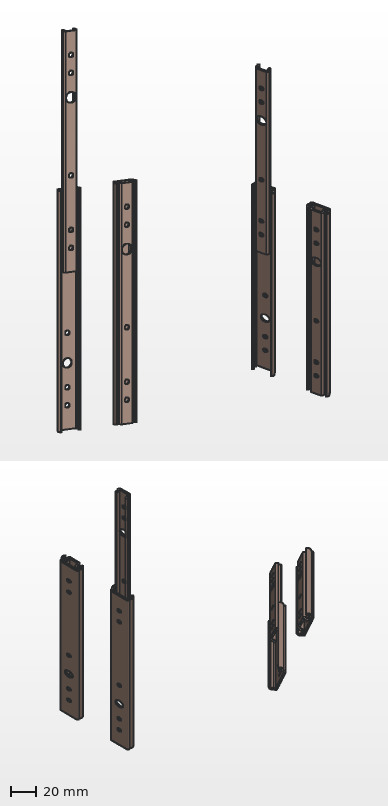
import cadquery as cq


TOTAL_LENGTH = 332.0
RAIL_LENGTH = 200.0
EXTENSION = TOTAL_LENGTH - RAIL_LENGTH
SLIDE_GAP = 30.0
WEB_THICKNESS = 1.5

OUTER_SHOULDER = 9.0
OUTER_RACE_RISE = 1.05
OUTER_HALF_HEIGHT = OUTER_SHOULDER + OUTER_RACE_RISE
OUTER_FLANGE_INSIDE = OUTER_SHOULDER - WEB_THICKNESS
OUTER_CORNER_RADIUS = 1.3
OUTER_RACE_CENTER = 4.5
OUTER_RACE_HALF_WIDTH = 2.45
OUTER_LIP_THICKNESS = 0.5
OUTER_GROOVE_HALF_WIDTH = 1.3
OUTER_GROOVE_BOTTOM = 8.5

INNER_FLANGE_INSIDE = 4.0
INNER_FLANGE_THICKNESS = 2.05
INNER_HALF_HEIGHT = INNER_FLANGE_INSIDE + INNER_FLANGE_THICKNESS
INNER_CORNER_RADIUS = 2.5
INNER_CORNER_DROP = 1.3
INNER_FLANGE_END = 2.35
INNER_WIDTH = 5.5
SLIDE_DEPTH = INNER_FLANGE_END + INNER_WIDTH
INNER_TIP_RADIUS = 1.3
INNER_TIP_INSIDE = 4.3
INNER_GROOVE_END = 5.5
INNER_GROOVE_DEPTH = 0.5

SCREW_HOLE_DIAMETER = 4.0
END_HOLE_HEIGHTS = [20.0, 35.0]
MIDDLE_HOLE_HEIGHT = 80.0
SCREW_HOLE_HEIGHTS = [
    *END_HOLE_HEIGHTS,
    MIDDLE_HOLE_HEIGHT,
    *[RAIL_LENGTH - height for height in END_HOLE_HEIGHTS],
]
OUTER_ACCESS_DIAMETER = 8.0
OUTER_ACCESS_HEIGHT = 55.0
INNER_ACCESS_DIAMETER = 9.0
INNER_ACCESS_HEIGHT = RAIL_LENGTH - OUTER_ACCESS_HEIGHT

ARC_INSET = 1 - 0.5 ** 0.5


def mirrored_rail(half_section):
    """Extrude a half section that starts on the XZ plane and add its mirror image."""
    half = half_section.close().extrude(RAIL_LENGTH)
    return half.union(half.mirror("XZ")).clean()


def web_hole(web_x, height, diameter):
    """Round cutter along X through a web whose lower X face is at web_x."""
    return (
        cq.Workplane("YZ", origin=(web_x, 0, height))
        .circle(diameter / 2)
        .extrude(WEB_THICKNESS)
    )


def drill_web(rail, web_x, access_height, access_diameter):
    """Cut the screw holes and the larger access hole."""
    for height in SCREW_HOLE_HEIGHTS:
        rail = rail.cut(web_hole(web_x, height, SCREW_HOLE_DIAMETER))
    return rail.cut(web_hole(web_x, access_height, access_diameter))


def outer_rail():
    lip_end = OUTER_RACE_CENTER + OUTER_RACE_HALF_WIDTH
    corner_inset = OUTER_CORNER_RADIUS * ARC_INSET
    half_section = (
        cq.Workplane("XY")
        .lineTo(0, OUTER_SHOULDER - OUTER_CORNER_RADIUS)
        .threePointArc((corner_inset, OUTER_SHOULDER - corner_inset), (OUTER_CORNER_RADIUS, OUTER_SHOULDER))
        .lineTo(OUTER_RACE_CENTER - OUTER_RACE_HALF_WIDTH, OUTER_SHOULDER)
        .threePointArc((OUTER_RACE_CENTER, OUTER_HALF_HEIGHT), (lip_end, OUTER_SHOULDER))
        .lineTo(lip_end, OUTER_SHOULDER - OUTER_LIP_THICKNESS)
        .lineTo(OUTER_RACE_CENTER + OUTER_GROOVE_HALF_WIDTH, OUTER_FLANGE_INSIDE)
        .threePointArc(
            (OUTER_RACE_CENTER, OUTER_GROOVE_BOTTOM),
            (OUTER_RACE_CENTER - OUTER_GROOVE_HALF_WIDTH, OUTER_FLANGE_INSIDE),
        )
        .lineTo(WEB_THICKNESS, OUTER_FLANGE_INSIDE)
        .lineTo(WEB_THICKNESS, 0)
    )
    return drill_web(mirrored_rail(half_section), 0, OUTER_ACCESS_HEIGHT, OUTER_ACCESS_DIAMETER)


def inner_rail():
    web_inside = SLIDE_DEPTH - WEB_THICKNESS
    tip_inset = INNER_TIP_RADIUS * ARC_INSET
    groove_start = INNER_FLANGE_END + INNER_TIP_RADIUS
    half_section = (
        cq.Workplane("XY")
        .moveTo(web_inside, 0)
        .lineTo(web_inside, INNER_FLANGE_INSIDE)
        .lineTo(groove_start, INNER_FLANGE_INSIDE)
        .lineTo(INNER_FLANGE_END, INNER_TIP_INSIDE)
        .lineTo(INNER_FLANGE_END, INNER_HALF_HEIGHT - INNER_TIP_RADIUS)
        .threePointArc(
            (INNER_FLANGE_END + tip_inset, INNER_HALF_HEIGHT - tip_inset),
            (groove_start, INNER_HALF_HEIGHT),
        )
        .threePointArc(
            ((groove_start + INNER_GROOVE_END) / 2, INNER_HALF_HEIGHT - INNER_GROOVE_DEPTH),
            (INNER_GROOVE_END, INNER_HALF_HEIGHT),
        )
        .radiusArc((SLIDE_DEPTH, INNER_HALF_HEIGHT - INNER_CORNER_DROP), INNER_CORNER_RADIUS)
        .lineTo(SLIDE_DEPTH, 0)
    )
    return drill_web(mirrored_rail(half_section), web_inside, INNER_ACCESS_HEIGHT, INNER_ACCESS_DIAMETER)


slide_spacing = SLIDE_GAP + 2 * OUTER_HALF_HEIGHT
slide_positions = [(-slide_spacing / 2, EXTENSION), (slide_spacing / 2, 0)]
outer_rails = []
inner_rails = []
for slide_y, inner_height in slide_positions:
    outer_rails.append(outer_rail().translate((0, slide_y, 0)).val())
    inner_rails.append(inner_rail().translate((0, slide_y, inner_height)).val())

result = cq.Compound.makeCompound([*outer_rails, *inner_rails])